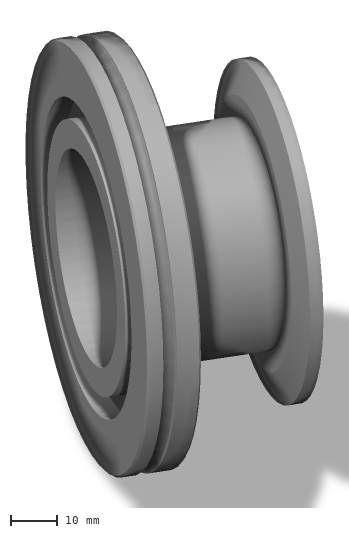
import cadquery as cq

total_length = 42.0
bore_diameter = 47.5
tube_diameter = 50.8

large_flange_diameter = 95.0
large_flange_thickness = 12.0
edge_chamfer = 0.5
rim_groove_radius = 1.5
rim_groove_offset = 5.0

recess_outer_diameter = 70.0
recess_inner_diameter = 60.2
recess_depth = 5.0

small_flange_diameter = 75.0
taper_root_diameter = 60.2
small_flange_thickness = 5.0
small_flange_rim = 3.0

front_y = -total_length / 2
back_y = total_length / 2


def cylinder(diameter, start_y, length):
    """Solid cylinder on the Y axis running from start_y toward +Y."""
    plane = cq.Workplane("XZ", origin=(0, start_y, 0))
    return plane.circle(diameter / 2).extrude(-length)


def large_flange():
    disc = cylinder(large_flange_diameter, front_y, large_flange_thickness)
    disc = disc.edges().chamfer(edge_chamfer)
    groove = (
        cq.Workplane("XY")
        .center(large_flange_diameter / 2, front_y + rim_groove_offset)
        .circle(rim_groove_radius)
        .revolve(360, (-large_flange_diameter / 2, 0), (-large_flange_diameter / 2, 1))
    )
    return disc.cut(groove)


def front_recess():
    outer = cylinder(recess_outer_diameter, front_y, recess_depth)
    return outer.cut(cylinder(recess_inner_diameter, front_y, recess_depth))


def small_flange():
    rim_radius = small_flange_diameter / 2
    root_y = back_y - small_flange_thickness
    return (
        cq.Workplane("XY")
        .moveTo(0, root_y)
        .lineTo(taper_root_diameter / 2, root_y)
        .lineTo(rim_radius, back_y - small_flange_rim)
        .lineTo(rim_radius, back_y)
        .lineTo(0, back_y)
        .close()
        .revolve(360, (0, 0), (0, 1))
    )


tube = cylinder(tube_diameter, front_y, total_length)
bore = cylinder(bore_diameter, front_y, total_length)
body = tube.union(large_flange().cut(front_recess())).union(small_flange())
result = body.cut(bore)